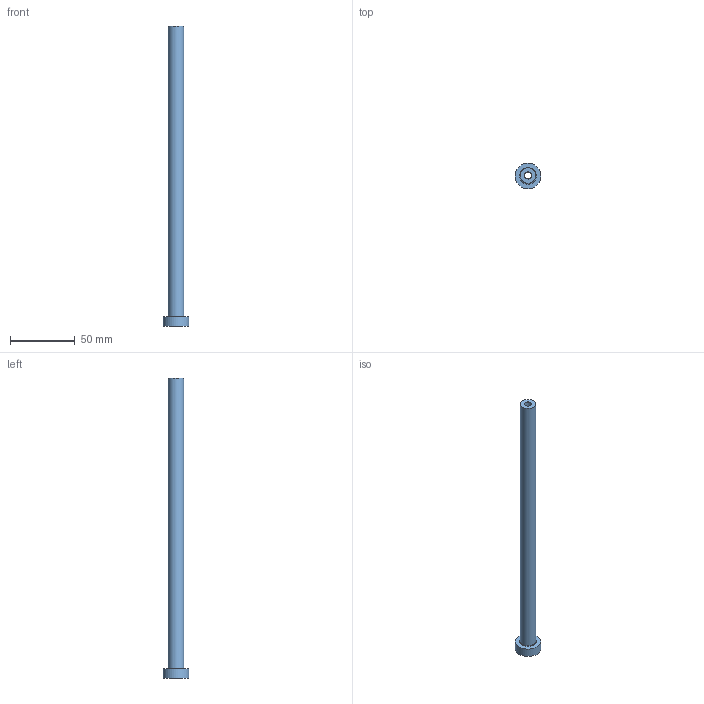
import cadquery as cq

total_length = 232.0
head_diameter = 20.0
head_height = 7.0
shank_diameter = 12.0
bore_diameter = 5.5
neck_fillet = 0.5


def make_head():
    """Short collar at the lower end."""
    return cq.Workplane("XY").circle(head_diameter / 2).extrude(head_height)


def add_shank(body):
    """Long cylinder rising from the head to the upper end."""
    shank = cq.Workplane("XY").circle(shank_diameter / 2).extrude(total_length)
    return body.union(shank)


def round_neck(body):
    """Small fillet in the corner where the shank meets the head."""
    head_top = body.faces(cq.selectors.NearestToPointSelector((0, 0, head_height)))
    neck_edge = head_top.edges(cq.selectors.RadiusNthSelector(0))
    return neck_edge.fillet(neck_fillet)


def cut_bore(body):
    """Axial bore through the full length."""
    bore = cq.Workplane("XY").circle(bore_diameter / 2).extrude(total_length)
    return body.cut(bore)


result = cut_bore(round_neck(add_shank(make_head())))